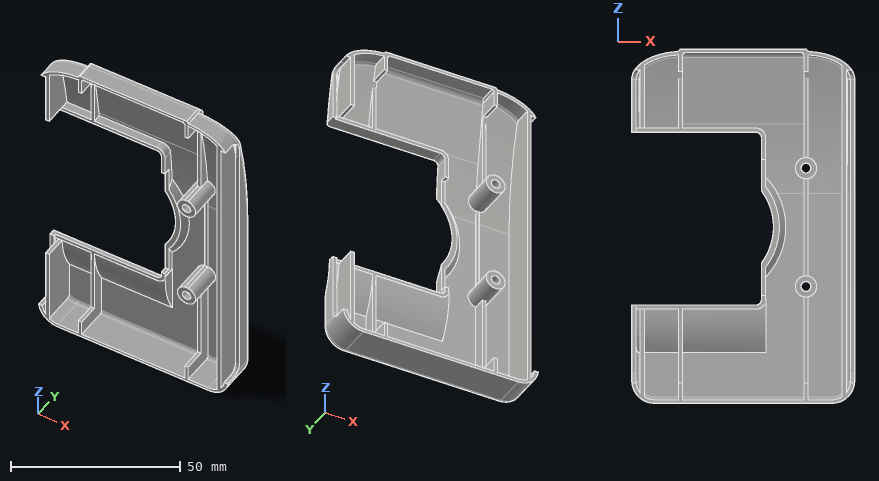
import cadquery as cq
import math

WIDTH = 66.0
DEPTH = 12.5
LENGTH = 104.7

FLOOR = 1.3
SIDE_WALL = 1.4
END_WALL = 1.0
CUTOUT_WALL = 1.3

HALF_WIDTH = WIDTH / 2
SHOULDER_Z = 104.1
SHOULDER_X = 17.8
SHOULDER_DROP = 8.4
BOTTOM_CORNER = 6.8
BACK_FILLET = 1.9
INNER_BACK_FILLET = 0.8

BEND_Z = 62.0
BEND_RADIUS = 144.5
BEND_CENTRE_Y = DEPTH - BEND_RADIUS

RIB_X = 18.5
RIB_THICKNESS = 1.2
RIB_END_LENGTH = 6.0
RIB_TOP_LENGTH = 6.6
RIB_LOW_Y = 11.0
BOSS_Z = (34.5, 69.5)
BOSS_RADIUS = 3.1
BOSS_HOLE_DIAMETER = 2.8

PANEL_HALF_WIDTH = RIB_X - RIB_THICKNESS / 2 + FLOOR
PANEL_START_Z = 82.8
PANEL_FILLET = 2.9
PANEL_CHAMFER = 0.6

CUTOUT_X = 5.3
CUTOUT_BOTTOM = 29.1
CUTOUT_TOP = 80.1
CUTOUT_CORNER = 1.6
CUTOUT_RIM_Y = 7.1
LOW_RIM_Y = 9.3
LOW_RIM_BOTTOM = 31.9
LOW_RIM_TOP = 72.0

CONE_X = -8.9
CONE_Z = 52.1
CONE_RIM_RADIUS = 17.8
CONE_WALL = CUTOUT_WALL * math.sqrt(2)

SCOOP_RADIUS = 24.9
SCOOP_EDGE_Y = 8.5
SCOOP_WALL = SCOOP_EDGE_Y - CUTOUT_RIM_Y
SCOOP_CENTRE_Y = SCOOP_EDGE_Y + SCOOP_RADIUS

INNER_WALL_X = 29.2
INNER_WALL_THICKNESS = 1.3
INNER_WALL_OUTER_X = INNER_WALL_X + INNER_WALL_THICKNESS
RECESS_DEPTH = 6.4
RECESS_BOTTOM = 6.0
RECESS_TOP = 98.5
RECESS_CORNER = 2.8


def block(x, y, z):
    """Box from (low, high) pairs along each axis."""
    size = (x[1] - x[0], y[1] - y[0], z[1] - z[0])
    return cq.Workplane("XY").box(*size, centered=False).translate((x[0], y[0], z[0]))


def y_cylinder(radius, x, z, y_start, y_end):
    return (
        cq.Workplane("XZ", origin=(0, y_start, 0))
        .center(x, z)
        .circle(radius)
        .extrude(y_start - y_end)
    )


def x_cylinder(radius, y, z, x_start, x_end):
    return (
        cq.Workplane("YZ", origin=(x_start, 0, 0))
        .center(y, z)
        .circle(radius)
        .extrude(x_end - x_start)
    )


def outline_prism(side_inset, end_inset):
    """Rounded outline, inset from the outside, extruded through the full depth."""
    x = HALF_WIDTH - side_inset
    bottom = end_inset
    top = SHOULDER_Z - end_inset
    across = x - SHOULDER_X
    drop = SHOULDER_DROP - end_inset
    corner = BOTTOM_CORNER - side_inset
    return (
        cq.Workplane("XZ")
        .moveTo(-x + corner, bottom)
        .lineTo(x - corner, bottom)
        .radiusArc((x, bottom + corner), -corner)
        .lineTo(x, top - drop)
        .ellipseArc(across, drop, 0, 90)
        .lineTo(-SHOULDER_X, top)
        .ellipseArc(across, drop, 90, 180)
        .lineTo(-x, bottom + corner)
        .radiusArc((-x + corner, bottom), -corner)
        .close()
        .extrude(-DEPTH)
    )


def back_profile(inset):
    """Space in front of the flat and curved back, as wide as the part."""
    radius = BEND_RADIUS - inset
    back = DEPTH - inset
    rise = LENGTH - BEND_Z
    end_y = BEND_CENTRE_Y + math.sqrt(radius**2 - rise**2)
    return (
        cq.Workplane("YZ", origin=(-HALF_WIDTH, 0, 0))
        .lineTo(back, 0)
        .lineTo(back, BEND_Z)
        .radiusArc((end_y, LENGTH), -radius)
        .lineTo(0, LENGTH)
        .close()
        .extrude(WIDTH)
    )


def raised_panel(inset, end_inset):
    """Panel block whose straight back leaves the bend tangentially."""
    radius = BEND_RADIUS - inset
    angle = math.asin((PANEL_START_Z - BEND_Z) / BEND_RADIUS)
    start_z = BEND_Z + radius * math.sin(angle)
    start_y = BEND_CENTRE_Y + radius * math.cos(angle)
    top = LENGTH - end_inset
    end_y = start_y - (top - start_z) * math.tan(angle)
    half_width = PANEL_HALF_WIDTH - inset
    return (
        cq.Workplane("YZ", origin=(-half_width, 0, 0))
        .moveTo(0, start_z)
        .lineTo(start_y, start_z)
        .lineTo(end_y, top)
        .lineTo(0, top)
        .close()
        .extrude(2 * half_width)
        .faces(">Z")
        .edges("|Y")
        .chamfer(PANEL_CHAMFER)
        .faces(">Z")
        .edges(">Y")
        .fillet(PANEL_FILLET - inset)
    )


def body(inset, side_inset, end_inset, fillet):
    """Solid form bounded by the outline, the back and the raised panel."""
    form = outline_prism(side_inset, end_inset).intersect(back_profile(inset))
    form = form.faces(">Y").edges("<Z").fillet(fillet)
    return form.union(raised_panel(inset, end_inset))


def cutout(offset):
    """Cutout volume grown by offset, running out through the -X side."""
    return (
        block(
            (-WIDTH, CUTOUT_X + offset),
            (0, 2 * DEPTH),
            (CUTOUT_BOTTOM - offset, CUTOUT_TOP + offset),
        )
        .edges("|Y and >X")
        .fillet(CUTOUT_CORNER + offset)
    )


def recess_cone(offset):
    """Cone about Y, widening by one unit of radius per unit of depth."""
    radius = CONE_RIM_RADIUS + offset
    height = DEPTH - LOW_RIM_Y
    cone = cq.Solid.makeCone(
        radius,
        radius + height,
        height,
        pnt=cq.Vector(CONE_X, LOW_RIM_Y, CONE_Z),
        dir=cq.Vector(0, 1, 0),
    )
    return cq.Workplane(obj=cone)


def scoop(offset):
    """Scoop grown by offset: a cylinder tangent to a flat behind the cutout's corner."""
    end_x = CUTOUT_X + offset
    curved = x_cylinder(
        SCOOP_RADIUS + offset, SCOOP_CENTRE_Y, CUTOUT_BOTTOM, -WIDTH, end_x
    ).intersect(block((-WIDTH, WIDTH), (0, DEPTH), (0, CUTOUT_BOTTOM)))
    flat = block(
        (-WIDTH, end_x),
        (SCOOP_EDGE_Y - offset, DEPTH),
        (CUTOUT_BOTTOM, CUTOUT_BOTTOM + CUTOUT_CORNER),
    )
    return curved.union(flat)


def cutout_surround():
    """Material kept around the cutout, the finger recess and the scoop."""
    wall = cutout(CUTOUT_WALL).intersect(
        block((-WIDTH, WIDTH), (CUTOUT_RIM_Y, DEPTH), (0, LENGTH))
    )
    lowered = block(
        (CUTOUT_X - CUTOUT_CORNER, CUTOUT_X + CUTOUT_WALL),
        (0, LOW_RIM_Y),
        (LOW_RIM_BOTTOM, LOW_RIM_TOP),
    )
    return wall.cut(lowered).union(recess_cone(CONE_WALL)).union(scoop(SCOOP_WALL))


def rib(x):
    """Low rib along Z with full-height stretches at both ends."""
    span = (x - RIB_THICKNESS / 2, x + RIB_THICKNESS / 2)
    low = block(span, (CUTOUT_RIM_Y, DEPTH), (0, LENGTH))
    lower_end = block(span, (0, DEPTH), (0, RIB_END_LENGTH))
    upper_end = block(span, (0, DEPTH), (LENGTH - RIB_TOP_LENGTH, LENGTH))
    return low.union(lower_end).union(upper_end)


def boss_with_key(z):
    """Screw boss with a narrow flat key along its upper side."""
    boss = y_cylinder(BOSS_RADIUS, RIB_X, z, 0, DEPTH)
    span = (RIB_X - RIB_THICKNESS / 2, RIB_X + RIB_THICKNESS / 2)
    return boss.union(block(span, (0, DEPTH), (z, z + BOSS_RADIUS)))


def inner_side_wall(side):
    centre = side * (INNER_WALL_X + INNER_WALL_THICKNESS / 2)
    span = (centre - INNER_WALL_THICKNESS / 2, centre + INNER_WALL_THICKNESS / 2)
    return block(span, (0, DEPTH), (0, LENGTH))


def side_recess(side):
    """Shallow recess from the rim that uncovers an inner side wall."""
    near = side * INNER_WALL_OUTER_X
    far = side * WIDTH
    return (
        block(
            (min(near, far), max(near, far)),
            (-DEPTH, RECESS_DEPTH),
            (RECESS_BOTTOM, RECESS_TOP),
        )
        .edges("|X and >Y")
        .fillet(RECESS_CORNER)
    )


outer = body(0, 0, 0, BACK_FILLET)
cavity = body(FLOOR, SIDE_WALL, END_WALL, INNER_BACK_FILLET)

shell = outer.cut(cavity.cut(cutout_surround()))

between_bosses = block((0, INNER_WALL_X), (0, RIB_LOW_Y), BOSS_Z)
right_rib = rib(RIB_X).cut(between_bosses)
stiffeners = rib(-RIB_X).union(right_rib).union(inner_side_wall(-1)).union(inner_side_wall(1))
shell = shell.union(stiffeners.intersect(outer).cut(cutout(CUTOUT_WALL)))

for boss_z in BOSS_Z:
    shell = shell.union(boss_with_key(boss_z).intersect(outer))

shell = shell.cut(cutout(0)).cut(recess_cone(0)).cut(scoop(0))
for boss_z in BOSS_Z:
    shell = shell.cut(y_cylinder(BOSS_HOLE_DIAMETER / 2, RIB_X, boss_z, 0, DEPTH))
for side in (-1, 1):
    shell = shell.cut(side_recess(side))

result = shell